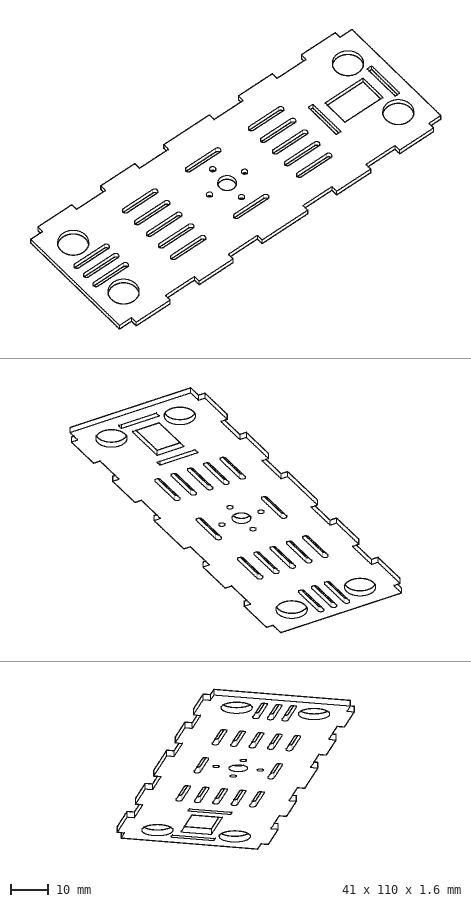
import cadquery as cq

length = 110.0
width = 41.0
thickness = 1.6

tab_depth = 2.0
tab_length = 11.7
middle_tab_length = 15.6
tab_gap = 9.9

slot_width = 1.6
slot_length = tab_length
row_pitch = tab_length + tab_gap
wide_row_span = 20.0
narrow_row_span = 7.9

hub_y = -3.0
shaft_diameter = 5.0
screw_diameter = 1.6
screw_circle_diameter = 12.0
screw_count = 4

corner_hole_diameter = 8.2
corner_hole_spacing_x = 21.0
corner_hole_spacing_y = 94.0

window_y = 40.5
window_width = 8.2
window_length = 13.0
cross_slot_length = 11.7
cross_slot_width = 1.5
cross_slot_spacing = 20.1

slot_rows = [
    (hub_y + row_pitch, wide_row_span, 5),
    (hub_y, wide_row_span, 2),
    (hub_y - row_pitch, wide_row_span, 5),
    (hub_y - 2 * row_pitch, narrow_row_span, 3),
]


def sketch_plane(y=0):
    """Plane of the plate's bottom face, with its origin moved along Y."""
    return cq.Workplane("XY", origin=(0, y, 0))


def tabbed_plate():
    """Plate whose opposite tabs are the ends of bars across the full width."""
    plate = sketch_plane().rect(width - 2 * tab_depth, length).extrude(thickness)
    middle_tabs = sketch_plane().rect(width, middle_tab_length).extrude(thickness)
    inner_tab_y = middle_tab_length / 2 + tab_gap + tab_length / 2
    outer_tab_y = inner_tab_y + tab_length + tab_gap
    centers = [(0, side * y) for side in (-1, 1) for y in (inner_tab_y, outer_tab_y)]
    short_tabs = sketch_plane().pushPoints(centers).rect(width, tab_length).extrude(thickness)
    return plate.union(middle_tabs).union(short_tabs)


def slot_row(row_y, span, count):
    """Cutter for a row of slots that lie along Y, evenly spread along X."""
    row = sketch_plane(row_y).rarray(span / (count - 1), 1.1, count, 1)
    return row.slot2D(slot_length, slot_width, 90).extrude(thickness)


def hub_holes():
    """Cutter for the shaft hole and its ring of screw holes."""
    shaft = sketch_plane(hub_y).circle(shaft_diameter / 2).extrude(thickness)
    ring = sketch_plane(hub_y).polarArray(screw_circle_diameter / 2, 0, 360, screw_count)
    return shaft.union(ring.circle(screw_diameter / 2).extrude(thickness))


def corner_holes():
    """Cutter for the four large corner holes."""
    corners = sketch_plane().rarray(corner_hole_spacing_x, corner_hole_spacing_y, 2, 2)
    return corners.circle(corner_hole_diameter / 2).extrude(thickness)


def window_openings():
    """Cutter for the rectangular window and its two cross slots."""
    window = sketch_plane(window_y).rect(window_width, window_length).extrude(thickness)
    pair = sketch_plane(window_y).rarray(1.1, cross_slot_spacing, 1, 2)
    return window.union(pair.rect(cross_slot_length, cross_slot_width).extrude(thickness))


result = tabbed_plate().cut(corner_holes()).cut(window_openings()).cut(hub_holes())
for row_y, span, count in slot_rows:
    result = result.cut(slot_row(row_y, span, count))